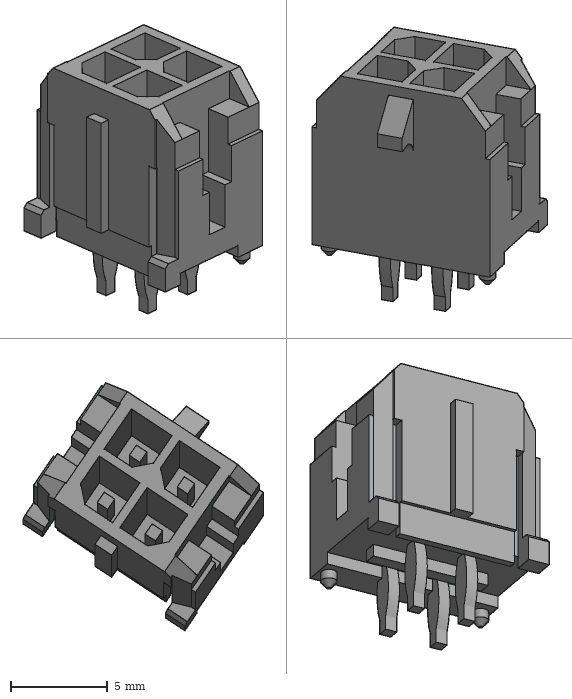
import cadquery as cq

width = 10.15
body_depth = 6.83
overall_height = 13.09
height = 9.9
front = -body_depth / 2
back = body_depth / 2

shoulder_half_width = 4.82
shoulder_z = 8.27
crown_half_width = 3.45
pad_top = 6.7

bevel_half_width = 3.85
bevel_inner_y = front + 0.13
bevel_outer_y = front + 0.48

core_half_width = 3.4
notch_front = -2.38
notch_back = 2.67
channel_width = 2.16
channel_floor = 4.6
slot_width = 1.18
slot_floor = 2.12

standoff = 0.68
relief_front = -2.79
relief_back = 1.57
cross_rib_thickness = 0.73
skirt_top = 1.85
skirt_step = 0.21
front_slot_top = 6.57

foot_front = -3.93
foot_top = 1.57
foot_chamfer = 0.24

rib_width = 1.05
rib_projection = 0.56

latch_width = 1.41
latch_projection = 1.4
latch_ramp_top = 9.32
latch_nose_top = 7.68
latch_nose_bottom = 6.92
latch_underside_end = 0.75
latch_underside_z = 7.03
latch_root_z = 6.43
latch_fillet_radius = 0.77

pitch = 3.0
cavity_size = 2.54
cavity_key = 0.8
cavity_floor = slot_floor
pin_size = 0.65
pin_top = 6.57
pin_bottom = height - overall_height
bulge_half_width = 0.62
bulge_bottom = -2.38

peg_diameter = 0.86
peg_tip_diameter = 0.21
peg_x = 4.5
peg_y = 2.45
peg_shoulder_z = -0.5
peg_tip_z = -0.88


def block(x_range, y_range, z_range):
    """Box between the given limits along each axis."""
    (x0, x1), (y0, y1), (z0, z1) = x_range, y_range, z_range
    return cq.Workplane("XY").box(x1 - x0, y1 - y0, z1 - z0, centered=False).translate((x0, y0, z0))


def centred(size):
    """Limits of a length centred on zero."""
    return (-size / 2, size / 2)


def on_both_sides(solid):
    """A right-hand feature together with its mirror image on the left."""
    return solid.union(solid.mirror("YZ"))


def make_shell():
    """Beveled plan with sloping upper corners and the wider lower side pads."""
    plan = [
        (0, front),
        (bevel_half_width, front),
        (bevel_half_width, bevel_inner_y),
        (shoulder_half_width, bevel_outer_y),
        (shoulder_half_width, back),
        (0, back),
    ]
    half = cq.Workplane("XY").polyline(plan).close().extrude(height)
    elevation = [
        (0, 0),
        (shoulder_half_width, 0),
        (shoulder_half_width, shoulder_z),
        (crown_half_width, height),
        (0, height),
    ]
    profile = cq.Workplane("XZ").polyline(elevation).close().extrude(body_depth / 2, both=True)
    pad = block((0, width / 2), (bevel_outer_y, back), (0, pad_top))
    return on_both_sides(half.intersect(profile).union(pad))


def make_foot():
    """Right front foot, with a chamfered toe."""
    foot = block((bevel_half_width, width / 2), (foot_front, relief_front), (0, foot_top))
    return foot.edges("<Y and >Z").chamfer(foot_chamfer)


def make_side_recess():
    """Right side recess: wide notch on top, then a channel, then a narrow slot."""
    reach = (core_half_width, width / 2)
    notch = block(reach, (notch_front, notch_back), (shoulder_z, height))
    channel = block(reach, centred(channel_width), (channel_floor, height))
    slot = block(reach, centred(slot_width), (slot_floor, height))
    return notch.union(channel).union(slot)


def make_cavity(x, y, key_x):
    """Square contact cavity with one keyed corner, at the front on the key_x side."""
    cavity = block(centred(cavity_size), centred(cavity_size), (cavity_floor, height))
    key_edge = "|Z and <Y and >X" if key_x > 0 else "|Z and <Y and <X"
    return cavity.edges(key_edge).chamfer(cavity_key).translate((x, y, 0))


def make_pin(x, y):
    """Square contact with a press-fit bulge below the housing."""
    half = pin_size / 2
    bulge_middle = (standoff + bulge_bottom) / 2
    outline = (
        cq.Workplane("YZ")
        .moveTo(-half, pin_bottom)
        .lineTo(half, pin_bottom)
        .lineTo(half, bulge_bottom)
        .threePointArc((bulge_half_width, bulge_middle), (half, standoff))
        .lineTo(half, pin_top)
        .lineTo(-half, pin_top)
        .lineTo(-half, standoff)
        .threePointArc((-bulge_half_width, bulge_middle), (-half, bulge_bottom))
        .close()
    )
    return outline.extrude(half, both=True).translate((x, y, 0))


def make_latch():
    """Wedge on the back face with a filleted underside."""
    nose_y = back + latch_projection
    outline = (
        cq.Workplane("YZ")
        .moveTo(back, latch_ramp_top)
        .lineTo(nose_y, latch_nose_top)
        .lineTo(nose_y, latch_nose_bottom)
        .lineTo(back + latch_underside_end, latch_underside_z)
        .radiusArc((back, latch_root_z), -latch_fillet_radius)
        .close()
    )
    return outline.extrude(latch_width / 2, both=True)


def make_peg():
    """Right locating peg with a conical tip, rooted in the housing."""
    outline = [
        (0, standoff),
        (peg_diameter / 2, standoff),
        (peg_diameter / 2, peg_shoulder_z),
        (peg_tip_diameter / 2, peg_tip_z),
        (0, peg_tip_z),
    ]
    peg = cq.Workplane("XZ").polyline(outline).close().revolve(360, (0, 0), (0, 1))
    return peg.translate((peg_x, peg_y, 0))


housing = make_shell().union(on_both_sides(make_foot()))

front_slot = block((core_half_width, bevel_half_width), (front, relief_front), (0, front_slot_top))
housing = housing.cut(on_both_sides(make_side_recess()))
housing = housing.cut(on_both_sides(front_slot))
housing = housing.cut(block(centred(width), (relief_front, relief_back), (0, standoff)))
housing = housing.cut(block(centred(2 * core_half_width), (front, front + skirt_step), (0, skirt_top)))

housing = housing.union(block(centred(2 * core_half_width), centred(cross_rib_thickness), (0, standoff)))
housing = housing.union(block(centred(rib_width), (front - rib_projection, front), (skirt_top, shoulder_z)))
housing = housing.union(make_latch())
housing = housing.union(on_both_sides(make_peg()))

positions = [(side, row) for side in (-1, 1) for row in (-1, 1)]
for side, row in positions:
    housing = housing.cut(make_cavity(side * pitch / 2, row * pitch / 2, -side * row))
for side, row in positions:
    housing = housing.union(make_pin(side * pitch / 2, row * pitch / 2))

result = housing